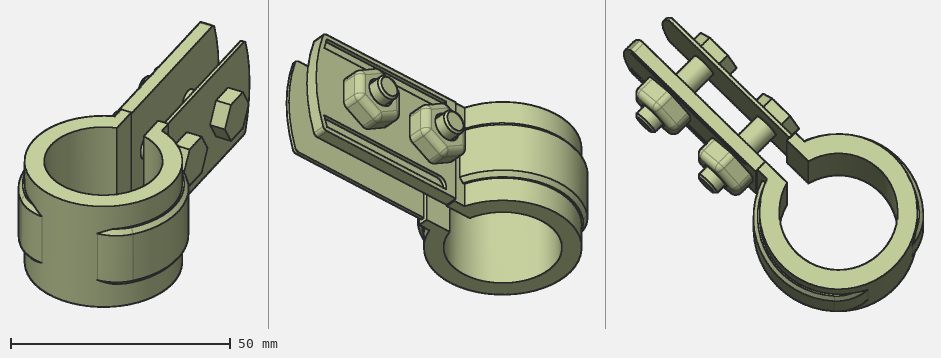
import cadquery as cq
import math


ring_height = 28.0
ring_radius = 18.0
bore_radius = 13.5
gap_half = 3.45
lug_thickness = 2.65
lug_outer = gap_half + lug_thickness
lug_end_y = 20.0

pad_radius = 19.375
pad_height = 15.3
pad_chamfer_height = 1.2
pad_chamfer_width = 1.0
pad_bend_angle = 221.7
pad_run_out_x = 7.15
pad_root_radius = bore_radius + 1.9
pad_root_x = lug_outer - 1.6

thick_plate_height = 27.35
thin_plate_height = 25.8
end_arc_center_y = 21.35
thick_plate_thickness = 3.2
thick_plate_end_radius = 40.9
plate_corner_radius = 1.2
thin_plate_thickness = 0.9
thin_plate_inner_x = 4.4
thin_plate_end_radius = 39.5
thick_plate_outer_x = gap_half + thick_plate_thickness
thin_plate_outer_x = thin_plate_inner_x + thin_plate_thickness

groove_depth = 1.0
groove_inner_z = 9.55
groove_outer_z = 12.4
groove_start_y = 22.95
groove_corner_radius = 2.2
groove_end_radius = thick_plate_end_radius - 1.3
groove_end_slope = 0.28

first_bolt_y = 27.4
bolt_pitch = 20.0
bolt_positions = [first_bolt_y, first_bolt_y + bolt_pitch]
shank_diameter = 6.0
tip_diameter = 4.9
tip_x = -15.0
head_height = 3.85
head_across_flats = 10.0
nut_height = 5.4
nut_across_flats = 13.0
nut_bore_diameter = 7.0
nut_edge_radius = 1.8


def polar(radius, angle):
    """Point on a circle around the ring axis, angle in degrees."""
    return (radius * math.cos(math.radians(angle)), radius * math.sin(math.radians(angle)))


def circle_y(radius, x):
    """Positive Y of the point at x on a circle around the ring axis."""
    return math.sqrt(radius**2 - x**2)


def box(x_range, y_range, z_range):
    size = [high - low for low, high in (x_range, y_range, z_range)]
    corner = (x_range[0], y_range[0], z_range[0])
    return cq.Workplane("XY").box(*size, centered=False).translate(corner)


def hexagon(x_start, length, across_flats):
    """Hexagonal prism along +X with two corners on the Y axis."""
    across_corners = across_flats / math.cos(math.radians(30))
    return cq.Workplane("YZ").workplane(offset=x_start).polygon(6, across_corners).extrude(length)


def make_left_pad():
    """Chamfered pad on the -X flank, its inner side buried in the ring and the lug."""
    bend = polar(pad_radius, pad_bend_angle)
    run_out = (-pad_run_out_x, -circle_y(ring_radius, pad_run_out_x))
    profile = (
        cq.Workplane("XY")
        .moveTo(-pad_root_x, circle_y(pad_radius, pad_root_x))
        .threePointArc((-pad_radius, 0), bend)
        .tangentArcPoint(run_out, relative=False)
        .lineTo(-pad_run_out_x, -circle_y(pad_root_radius, pad_run_out_x))
        .threePointArc((-pad_root_radius, 0), (-pad_root_x, circle_y(pad_root_radius, pad_root_x)))
        .close()
    )
    pad = profile.extrude(pad_height / 2, both=True)
    return pad.faces("|Z").chamfer(pad_chamfer_height, pad_chamfer_width)


def make_left_ring_half():
    """Half of the ring on the -X side, with its lug and pad."""
    half_height = ring_height / 2
    z_range = (-half_height, half_height)
    half = cq.Workplane("XY").circle(ring_radius).extrude(half_height, both=True)
    half = half.union(box((-lug_outer, 0), (0, lug_end_y), z_range)).union(make_left_pad())
    half = half.cut(cq.Workplane("XY").circle(bore_radius).extrude(half_height, both=True))
    half = half.cut(box((-gap_half, 0), (0, lug_end_y), z_range))
    return half.cut(box((0, ring_radius), (-ring_radius, ring_radius), z_range))


def make_ring():
    """Split ring with a lug on each side of the gap and a raised pad on each flank."""
    left_half = make_left_ring_half()
    return left_half.union(left_half.mirror("YZ"))


def plate_blank(x_start, thickness, height, end_radius):
    """Flat plate from the lug to an arc-shaped far end."""
    half_height = height / 2
    corner_y = end_arc_center_y + math.sqrt(end_radius**2 - half_height**2)
    return (
        cq.Workplane("YZ")
        .workplane(offset=x_start)
        .moveTo(lug_end_y, -half_height)
        .lineTo(corner_y, -half_height)
        .threePointArc((end_arc_center_y + end_radius, 0), (corner_y, half_height))
        .lineTo(lug_end_y, half_height)
        .close()
        .extrude(thickness)
        .edges("|X")
        .edges(">Y")
        .fillet(plate_corner_radius)
    )


def bolt_holes():
    """Cutter through both plates at every bolt position."""
    centers = [(y, 0) for y in bolt_positions]
    return (
        cq.Workplane("YZ")
        .workplane(offset=-thick_plate_outer_x)
        .pushPoints(centers)
        .circle(shank_diameter / 2)
        .extrude(thick_plate_outer_x + thin_plate_outer_x)
    )


def upper_groove():
    """Cutter for the upper groove, its far end a cone concentric with the plate end."""
    strip = box(
        (-thick_plate_outer_x, groove_depth - thick_plate_outer_x),
        (groove_start_y, end_arc_center_y + groove_end_radius),
        (groove_inner_z, groove_outer_z),
    )
    strip = strip.edges("|X and <Y and <Z").fillet(groove_corner_radius)
    end_cone = cq.Workplane("XY").add(
        cq.Solid.makeCone(
            groove_end_radius,
            groove_end_radius - groove_end_slope,
            groove_depth,
            pnt=cq.Vector(-thick_plate_outer_x, end_arc_center_y, 0),
            dir=cq.Vector(1, 0, 0),
        )
    )
    return strip.intersect(end_cone)


def make_thick_plate():
    plate = plate_blank(
        -thick_plate_outer_x, thick_plate_thickness, thick_plate_height, thick_plate_end_radius
    )
    groove = upper_groove()
    return plate.cut(groove).cut(groove.mirror("XY")).cut(bolt_holes())


def make_thin_plate():
    plate = plate_blank(
        thin_plate_inner_x, thin_plate_thickness, thin_plate_height, thin_plate_end_radius
    )
    return plate.cut(bolt_holes())


def make_bolt(y):
    """Bolt with its head on the thin plate and its chamfered tip beyond the nut."""
    shank = (
        cq.Workplane("YZ")
        .workplane(offset=tip_x)
        .circle(shank_diameter / 2)
        .extrude(thin_plate_outer_x - tip_x)
        .faces("<X")
        .chamfer((shank_diameter - tip_diameter) / 2)
    )
    head = hexagon(thin_plate_outer_x, head_height, head_across_flats)
    return shank.union(head).translate((0, y, 0))


def make_nut(y):
    """Rounded nut seated on the thick plate, its bore clear of the bolt shank."""
    nut = hexagon(-thick_plate_outer_x - nut_height, nut_height, nut_across_flats)
    nut = nut.rotate((0, 0, 0), (1, 0, 0), 30)
    nut = nut.edges("|X or <X").fillet(nut_edge_radius)
    nut = nut.faces("<X").workplane().hole(nut_bore_diameter)
    return nut.translate((0, y, 0))


ring = make_ring()
thick_plate = make_thick_plate()
thin_plate = make_thin_plate()
bolts = [make_bolt(y) for y in bolt_positions]
nuts = [make_nut(y) for y in bolt_positions]

bodies = [ring, thick_plate, thin_plate, *bolts, *nuts]
result = cq.Compound.makeCompound([body.val() for body in bodies])